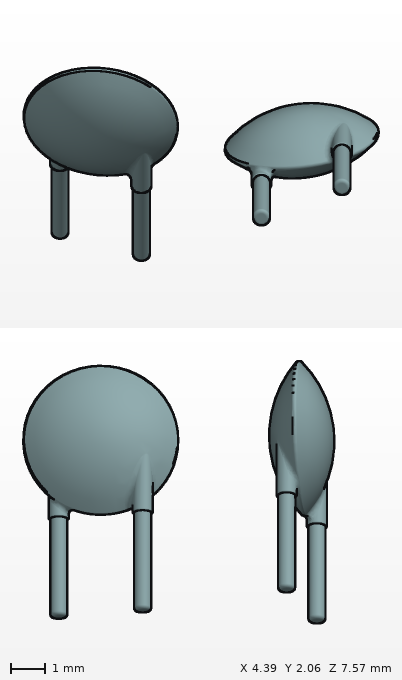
import cadquery as cq
import math

disc_radius = 2.27
disc_half_thickness = 0.95
rim_radius = 0.09
disc_turn = 15.0
lead_spacing = 2.535
lead_diameter = 0.51
lead_tip_fillet = 0.105
sleeve_diameter = 0.6
sleeve_end_fillet = 0.04
sleeve_blend_radius = 0.19
sleeve_bottom_z = -2.3
overall_height = 7.57

lead_tip_z = disc_radius - overall_height
lead_length = sleeve_bottom_z - lead_tip_z
lead_places = [(side * lead_spacing / 2, 0) for side in (-1, 1)]

rim_centre = disc_radius - rim_radius
face_radius = (rim_centre**2 + disc_half_thickness**2 - rim_radius**2) / (
    2 * (disc_half_thickness - rim_radius)
)
face_centre = face_radius - disc_half_thickness
rim_angle = math.atan2(face_centre, rim_centre)
middle_angle = (rim_angle + math.pi / 2) / 2


def face_point(angle):
    """Point of the face arc (distance from the axis, height above the rim plane)."""
    return face_radius * math.cos(angle), face_radius * math.sin(angle) - face_centre


def mirrored(point):
    """Same point on the opposite face."""
    return point[0], -point[1]


def make_disc():
    """Lens revolved about its own axis, which lies along Y before the turn about Z."""
    tangent_point = face_point(rim_angle)
    middle_point = face_point(middle_angle)
    profile = (
        cq.Workplane("XY")
        .moveTo(0, disc_half_thickness)
        .threePointArc(middle_point, tangent_point)
        .threePointArc((disc_radius, 0), mirrored(tangent_point))
        .threePointArc(mirrored(middle_point), (0, -disc_half_thickness))
        .close()
    )
    lens = profile.revolve(360, (0, 0, 0), (0, 1, 0))
    return lens.rotate((0, 0, 0), (0, 0, 1), disc_turn)


def make_sleeves():
    """Collars that rise from the lead ends into the disc, up to its mid height."""
    return (
        cq.Workplane("XY", origin=(0, 0, sleeve_bottom_z))
        .pushPoints(lead_places)
        .circle(sleeve_diameter / 2)
        .extrude(-sleeve_bottom_z)
    )


def make_housing():
    """Disc and sleeves in one piece, blended where the sleeves run into the disc."""
    housing = make_disc().union(make_sleeves())
    seams = housing.edges("%BSPLINE")
    housing = seams.fillet(sleeve_blend_radius)
    return housing.faces("<Z").edges().fillet(sleeve_end_fillet)


def make_lead(place):
    """Round pin that butts against the underside of its sleeve."""
    return (
        cq.Workplane("XY", origin=(*place, lead_tip_z))
        .circle(lead_diameter / 2)
        .extrude(lead_length)
        .faces("<Z")
        .edges()
        .fillet(lead_tip_fillet)
    )


housing = make_housing()
leads = [make_lead(place) for place in lead_places]

result = cq.Compound.makeCompound([housing.val(), *[lead.val() for lead in leads]])